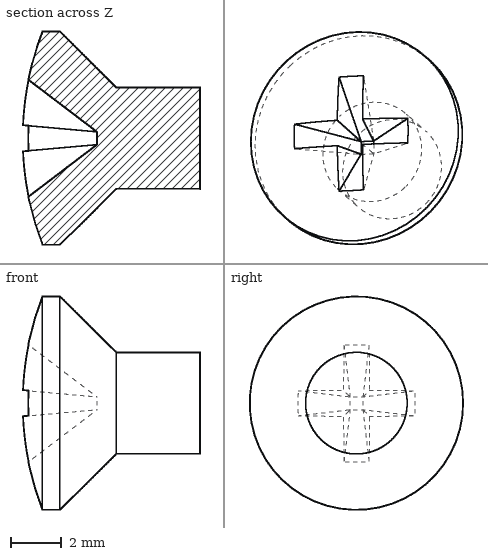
import cadquery as cq
import math

head_diameter = 8.4
shank_diameter = 4.0
dome_height = 0.79
rim_length = 0.69
cone_length = 2.22
shank_length = 3.29

wing_span = 4.59
wing_width = 0.98
floor_side = 0.5
recess_depth = 2.69

head_radius = head_diameter / 2
shank_radius = shank_diameter / 2
dome_radius = (head_radius**2 + dome_height**2) / (2 * dome_height)


def dome_x(radius):
    """X of the dome surface at a distance from the axis; the apex is at 0."""
    return dome_radius - math.sqrt(dome_radius**2 - radius**2)


def make_body():
    rim_end = dome_height + rim_length
    cone_end = rim_end + cone_length
    shank_end = cone_end + shank_length
    middle_radius = head_radius / 2
    return (
        cq.Workplane("XY")
        .moveTo(0, 0)
        .threePointArc((dome_x(middle_radius), middle_radius), (dome_height, head_radius))
        .lineTo(rim_end, head_radius)
        .lineTo(cone_end, shank_radius)
        .lineTo(shank_end, shank_radius)
        .lineTo(shank_end, 0)
        .close()
        .revolve(360, (0, 0, 0), (1, 0, 0))
    )


def make_wing(turn):
    """One tapered bar of the cross, continued in a straight line out to the apex plane."""
    mouth_x = dome_x(math.hypot(wing_span / 2, wing_width / 2))
    floor_x = mouth_x + recess_depth
    growth = floor_x / recess_depth
    apex_span = floor_side + (wing_span - floor_side) * growth
    apex_width = floor_side + (wing_width - floor_side) * growth
    return (
        cq.Workplane("YZ")
        .rect(apex_span, apex_width)
        .workplane(offset=floor_x)
        .rect(floor_side, floor_side)
        .loft(ruled=True)
        .rotate((0, 0, 0), (1, 0, 0), turn)
    )


result = make_body()
for turn in (0, 90):
    result = result.cut(make_wing(turn))